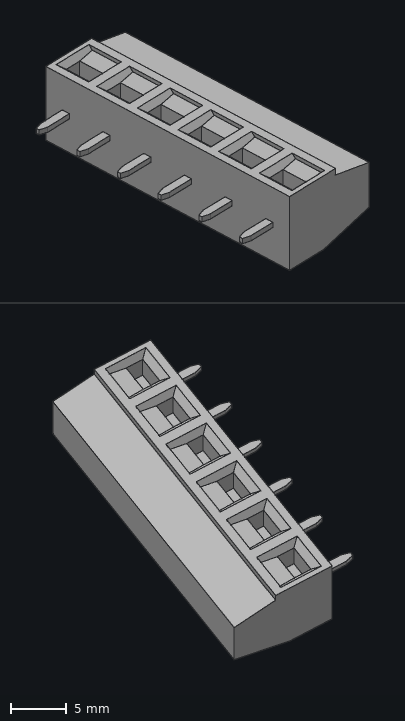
import cadquery as cq

pole_count = 6
body_length = 30.0
pitch = body_length / pole_count

body_depth = 10.5
body_height = 8.1
ledge_depth = 6.05
ledge_drop = 0.72
rear_top_drop = 1.6
rear_bottom_rise = 1.6
base_depth = 4.5

opening_width = 4.0
opening_front = 0.85
opening_back = 5.15
throat_width = 2.82
throat_front = 1.55
throat_back = 3.33
funnel_depth = 0.6
ramp_start_depth = 0.42
pocket_depth = 3.0

pin_length = 3.72
pin_width = 0.87
pin_thickness = 0.57
pin_tip_length = 0.85
pin_tip_width = 0.35
pin_height = 4.02


def make_housing():
    """Extrude the side profile along the whole row."""
    profile = [
        (0, 0),
        (base_depth, 0),
        (body_depth, rear_bottom_rise),
        (body_depth, body_height - rear_top_drop),
        (ledge_depth, body_height - ledge_drop),
        (ledge_depth, body_height),
        (0, body_height),
    ]
    return cq.Workplane("YZ").polyline(profile).close().extrude(body_length)


def centred_box(center_x, width, front, back, bottom, top):
    """Box centred in X on a pole, given by its Y and Z limits."""
    return (
        cq.Workplane("XY", origin=(center_x, front, bottom))
        .box(width, back - front, top - bottom, centered=(True, False, False))
    )


def make_opening(center_x):
    """Funnel with tapered front and sides and a rear ramp, above a straight throat."""
    throat_top = body_height - funnel_depth
    ramp_start = body_height - ramp_start_depth

    side_limit = [
        (opening_front, body_height),
        (opening_back, body_height),
        (opening_back, ramp_start),
        (throat_back, throat_top),
        (opening_front, throat_top),
    ]
    side_prism = (
        cq.Workplane("YZ", origin=(center_x, 0, 0))
        .polyline(side_limit).close()
        .extrude(opening_width / 2, both=True)
    )
    taper = (
        cq.Workplane("XY", origin=(center_x, 0, body_height))
        .center(0, (opening_front + opening_back) / 2)
        .rect(opening_width, opening_back - opening_front)
        .workplane(offset=-funnel_depth)
        .center(0, (throat_front - opening_front) / 2)
        .rect(throat_width, opening_back - throat_front)
        .loft(ruled=True)
    )
    floor = body_height - pocket_depth
    throat = centred_box(center_x, throat_width, throat_front, throat_back, floor, throat_top)
    return taper.intersect(side_prism).union(throat)


def make_pin(center_x):
    """Flat pin standing out of the front face, narrowing to a blunt tip."""
    shoulder = pin_length - pin_tip_length
    outline = [
        (center_x - pin_width / 2, 0),
        (center_x - pin_width / 2, -shoulder),
        (center_x - pin_tip_width / 2, -pin_length),
        (center_x + pin_tip_width / 2, -pin_length),
        (center_x + pin_width / 2, -shoulder),
        (center_x + pin_width / 2, 0),
    ]
    return (
        cq.Workplane("XY", origin=(0, 0, pin_height))
        .polyline(outline).close()
        .extrude(pin_thickness / 2, both=True)
    )


result = make_housing()
for pole in range(pole_count):
    pole_x = (pole + 0.5) * pitch
    result = result.cut(make_opening(pole_x)).union(make_pin(pole_x))